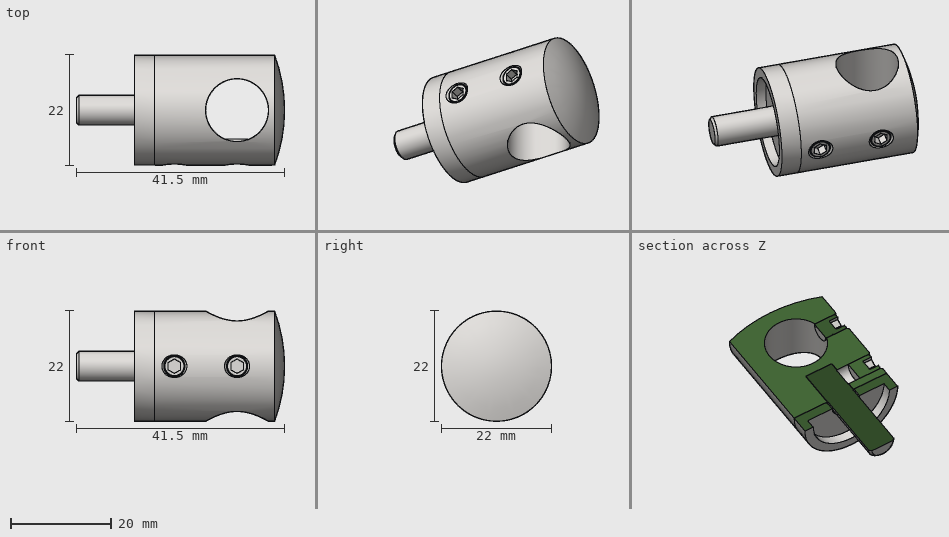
import cadquery as cq
import math

body_diameter = 22.0
body_radius = body_diameter / 2
cap_thickness = 4.0
shoulder_x = 28.0
dome_height = 2.0

recess_diameter = 18.0
recess_depth = 2.0
cap_hole_diameter = 6.4

pin_diameter = 6.0
pin_protrusion = 11.55
pin_end_x = 12.0
pin_chamfer = 0.5

cross_bore_diameter = 12.5
cross_bore_x = 20.5

pin_screw_x = 8.0
screw_positions_x = (pin_screw_x, cross_bore_x)
screw_diameter = 4.2
screw_length = 5.0
screw_head_chamfer = 0.2
screw_head_y = -10.7
countersink_diameter = 5.0
socket_across_flats = 2.5
socket_depth = 2.0


def cylinder_along_x(diameter, start_x, end_x):
    return cq.Workplane("YZ", origin=(start_x, 0, 0)).circle(diameter / 2).extrude(end_x - start_x)


def cylinder_along_y(diameter, x, start_y, end_y):
    return cq.Workplane("XZ", origin=(x, start_y, 0)).circle(diameter / 2).extrude(start_y - end_y)


def make_countersink(x):
    """45 degree cone, full diameter on the outer surface, narrowing to the screw hole."""
    depth = (countersink_diameter - screw_diameter) / 2
    cone = cq.Solid.makeCone(
        countersink_diameter / 2,
        screw_diameter / 2,
        depth,
        pnt=cq.Vector(x, -body_radius, 0),
        dir=cq.Vector(0, 1, 0),
    )
    return cq.Workplane(cone)


def make_body():
    dome_radius = (body_radius**2 + dome_height**2) / (2 * dome_height)
    dome_mid_angle = math.asin(body_radius / dome_radius) / 2
    dome_center_x = shoulder_x + dome_height - dome_radius
    dome_mid_point = (
        dome_center_x + dome_radius * math.cos(dome_mid_angle),
        dome_radius * math.sin(dome_mid_angle),
    )
    body = (
        cq.Workplane("XY")
        .moveTo(cap_thickness, 0)
        .lineTo(cap_thickness, body_radius)
        .lineTo(shoulder_x, body_radius)
        .threePointArc(dome_mid_point, (shoulder_x + dome_height, 0))
        .close()
        .revolve(360, (0, 0, 0), (1, 0, 0))
    )
    cross_bore = (
        cq.Workplane("XY")
        .center(cross_bore_x, 0)
        .circle(cross_bore_diameter / 2)
        .extrude(body_radius, both=True)
    )
    body = body.cut(cross_bore)
    body = body.cut(cylinder_along_x(pin_diameter, cap_thickness, pin_end_x))
    for x in screw_positions_x:
        body = body.cut(cylinder_along_y(screw_diameter, x, -body_radius, 0))
        body = body.cut(make_countersink(x))
    return body


def make_end_cap():
    cap = cylinder_along_x(body_diameter, 0, cap_thickness)
    cap = cap.cut(cylinder_along_x(recess_diameter, 0, recess_depth))
    return cap.cut(cylinder_along_x(cap_hole_diameter, 0, cap_thickness))


def make_pin():
    pin = cylinder_along_x(pin_diameter, -pin_protrusion, pin_end_x)
    return pin.faces("<X").chamfer(pin_chamfer)


def make_set_screw(x):
    screw = cylinder_along_y(screw_diameter, x, screw_head_y, screw_head_y + screw_length)
    screw = screw.faces("<Y").chamfer(screw_head_chamfer)
    socket_corner_diameter = socket_across_flats / math.cos(math.pi / 6)
    socket = (
        cq.Workplane("XZ", origin=(x, screw_head_y, 0))
        .transformed(rotate=(0, 0, 30))
        .polygon(6, socket_corner_diameter)
        .extrude(-socket_depth)
    )
    return screw.cut(socket)


body = make_body()
end_cap = make_end_cap()
pin = make_pin()
set_screws = [make_set_screw(x) for x in screw_positions_x]

result = cq.Compound.makeCompound(
    [body.val(), end_cap.val(), pin.val(), *[screw.val() for screw in set_screws]]
)